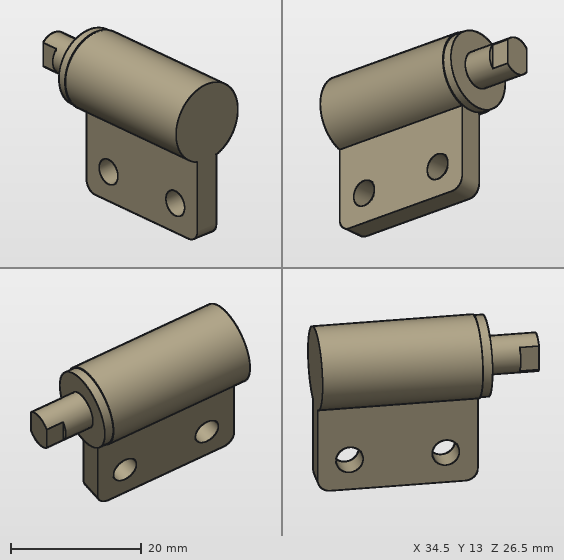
import cadquery as cq

overall_length = 34.5
overall_height = 26.5

barrel_diameter = 13.0
barrel_length = 25.0

flange_thickness = 4.0
flange_corner_radius = 2.0
mount_hole_diameter = 4.2
mount_hole_inset = 5.0

collar_diameter = 12.7
collar_length = 1.52

shaft_diameter = 6.0
shaft_flats_width = 4.5
shaft_flats_length = 3.0

flange_bottom = barrel_diameter / 2 - overall_height
shaft_tip_x = barrel_length - overall_length
shaft_length = -shaft_tip_x


def axial_cylinder(diameter, start_x, length):
    """Cylinder on the common axis, from start_x towards +X."""
    return cq.Workplane("YZ", origin=(start_x, 0, 0)).circle(diameter / 2).extrude(length)


def make_flange():
    """Mounting plate from the axis down, with rounded lower corners and two holes."""
    plate = (
        cq.Workplane("XY")
        .box(barrel_length, flange_thickness, -flange_bottom, centered=(False, True, False))
        .translate((0, 0, flange_bottom))
        .edges("|Y and <Z")
        .fillet(flange_corner_radius)
    )
    hole_z = flange_bottom + mount_hole_inset
    hole_places = [(x, hole_z) for x in (mount_hole_inset, barrel_length - mount_hole_inset)]
    holes = (
        cq.Workplane("XZ")
        .pushPoints(hole_places)
        .circle(mount_hole_diameter / 2)
        .extrude(flange_thickness / 2, both=True)
    )
    return plate.cut(holes)


def make_housing():
    """Solid barrel and its mounting flange, in one piece."""
    return axial_cylinder(barrel_diameter, 0, barrel_length).union(make_flange())


def make_collar():
    """End ring against the housing, bored to take the shaft."""
    ring = axial_cylinder(collar_diameter, -collar_length, collar_length)
    bore = axial_cylinder(shaft_diameter, -collar_length, collar_length)
    return ring.cut(bore)


def make_shaft():
    """Round shaft from the housing face out to a tip with two parallel flats."""
    body_length = shaft_length - shaft_flats_length
    body = axial_cylinder(shaft_diameter, shaft_tip_x + shaft_flats_length, body_length)
    flats_block = (
        cq.Workplane("XY")
        .box(shaft_flats_length, shaft_flats_width, shaft_diameter, centered=(False, True, True))
        .translate((shaft_tip_x, 0, 0))
    )
    tip = axial_cylinder(shaft_diameter, shaft_tip_x, shaft_flats_length).intersect(flats_block)
    return body.union(tip)


housing = make_housing()
collar = make_collar()
shaft = make_shaft()

bodies = [body.solids().val() for body in (housing, collar, shaft)]
result = cq.Compound.makeCompound(bodies)